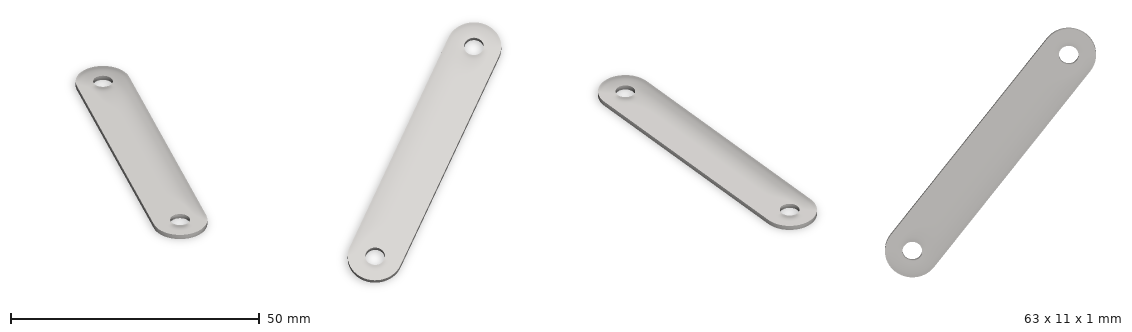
import cadquery as cq

length = 63.0
width = 11.0
thickness = 1.0
hole_diameter = 4.0

hole_spacing = length - width

plate = cq.Workplane("XY").slot2D(length, width).extrude(thickness)

result = (
    plate.faces(">Z")
    .workplane()
    .pushPoints([(-hole_spacing / 2, 0), (hole_spacing / 2, 0)])
    .hole(hole_diameter)
)